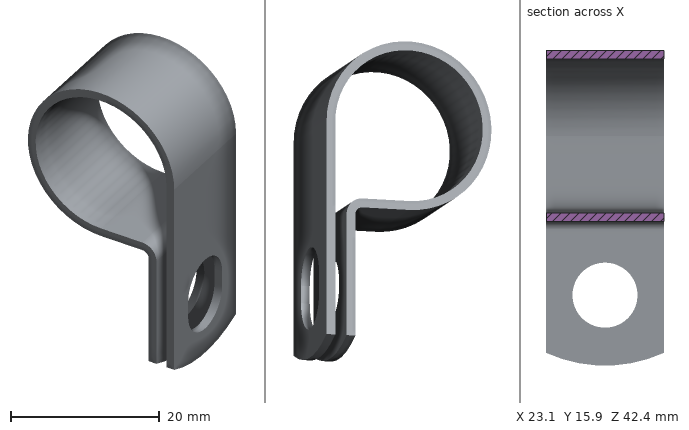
import cadquery as cq
import math

loop_outer_diameter = 23.06
strip_thickness = 1.22
strip_width = 15.88
overall_height = 42.4
leg_gap = 1.59
bend_inner_radius = 1.0
hole_diameter = 8.73
slot_length = 11.11
hole_drop = 21.4
tip_radius = 19.05

outer_radius = loop_outer_diameter / 2
inner_radius = outer_radius - strip_thickness
half_width = strip_width / 2
bottom_z = outer_radius - overall_height
short_leg_outer_x = inner_radius - leg_gap
short_leg_inner_x = short_leg_outer_x - strip_thickness
cut_split_x = inner_radius - leg_gap / 2
bend_outer_radius = bend_inner_radius + strip_thickness
bend_x = short_leg_inner_x - bend_inner_radius
bend_z = -outer_radius - bend_inner_radius
tip_height = tip_radius - math.sqrt(tip_radius**2 - half_width**2)


def arc_point(center_x, center_z, radius, degrees):
    """Point on a circle in the XZ plane, measured from +X toward +Z."""
    angle = math.radians(degrees)
    return (center_x + radius * math.cos(angle), center_z + radius * math.sin(angle))


def make_bent_strip():
    """Strip bent into a three-quarter loop with a straight leg and a folded leg."""
    return (
        cq.Workplane("XZ")
        .moveTo(outer_radius, bottom_z)
        .lineTo(outer_radius, 0)
        .threePointArc(arc_point(0, 0, outer_radius, 135), (0, -outer_radius))
        .lineTo(bend_x, -outer_radius)
        .threePointArc(
            arc_point(bend_x, bend_z, bend_inner_radius, 45),
            (short_leg_inner_x, bend_z),
        )
        .lineTo(short_leg_inner_x, bottom_z)
        .lineTo(short_leg_outer_x, bottom_z)
        .lineTo(short_leg_outer_x, bend_z)
        .threePointArc(
            arc_point(bend_x, bend_z, bend_outer_radius, 45),
            (bend_x, -inner_radius),
        )
        .lineTo(0, -inner_radius)
        .threePointArc(arc_point(0, 0, inner_radius, 135), (inner_radius, 0))
        .lineTo(inner_radius, bottom_z)
        .close()
        .extrude(half_width, both=True)
    )


def make_side_envelope():
    """Side outline of the clamp: square at the top, arc at the leg tips."""
    return (
        cq.Workplane("YZ")
        .moveTo(-half_width, outer_radius)
        .lineTo(-half_width, bottom_z + tip_height)
        .threePointArc((0, bottom_z), (half_width, bottom_z + tip_height))
        .lineTo(half_width, outer_radius)
        .close()
        .extrude(outer_radius, both=True)
    )


def make_hole_cutter():
    """Round screw hole along X through the folded leg."""
    return (
        cq.Workplane("YZ", origin=(cut_split_x, 0, -hole_drop))
        .circle(hole_diameter / 2)
        .extrude(-loop_outer_diameter)
    )


def make_slot_cutter():
    """Upright screw slot along X through the straight leg."""
    return (
        cq.Workplane("YZ", origin=(cut_split_x, 0, -hole_drop))
        .slot2D(slot_length, hole_diameter, 90)
        .extrude(outer_radius)
    )


result = (
    make_bent_strip()
    .intersect(make_side_envelope())
    .cut(make_hole_cutter())
    .cut(make_slot_cutter())
)